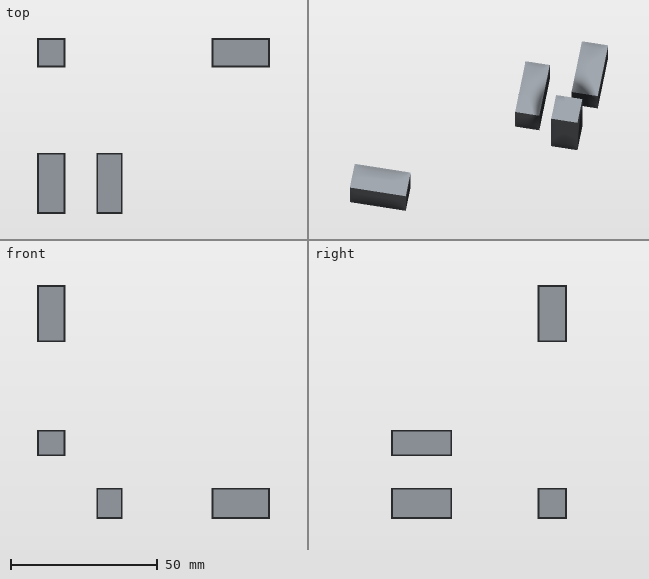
import cadquery as cq

SET_X = 78.94
SET_Y = 59.41
SET_Z = 79.29

BACK_DEPTH = 9.45
BACK_Y = SET_Y - BACK_DEPTH

LEFT_WIDTH = 9.1

BOTTOM_HEIGHT = 10.05

POST_HEIGHT = 18.95

BLOCK_LENGTH = 19.4

BAR_LENGTH = 20.25

UPPER_BAR_HEIGHT = 8.5
UPPER_BAR_Z = 21.4

LOWER_BAR_WIDTH = 8.4
LOWER_BAR_X = 20.25


def box_at(corner, size):
    """Box that extends from its lowest corner in +X, +Y and +Z."""
    return cq.Workplane("XY").box(*size, centered=False).translate(corner)


post = box_at(
    (0, BACK_Y, SET_Z - POST_HEIGHT),
    (LEFT_WIDTH, BACK_DEPTH, POST_HEIGHT),
)

end_block = box_at(
    (SET_X - BLOCK_LENGTH, BACK_Y, 0),
    (BLOCK_LENGTH, BACK_DEPTH, BOTTOM_HEIGHT),
)

upper_bar = box_at(
    (0, 0, UPPER_BAR_Z),
    (LEFT_WIDTH, BAR_LENGTH, UPPER_BAR_HEIGHT),
)

lower_bar = box_at(
    (LOWER_BAR_X, 0, 0),
    (LOWER_BAR_WIDTH, BAR_LENGTH, BOTTOM_HEIGHT),
)

result = cq.Compound.makeCompound(
    [post.val(), end_block.val(), upper_bar.val(), lower_bar.val()]
)